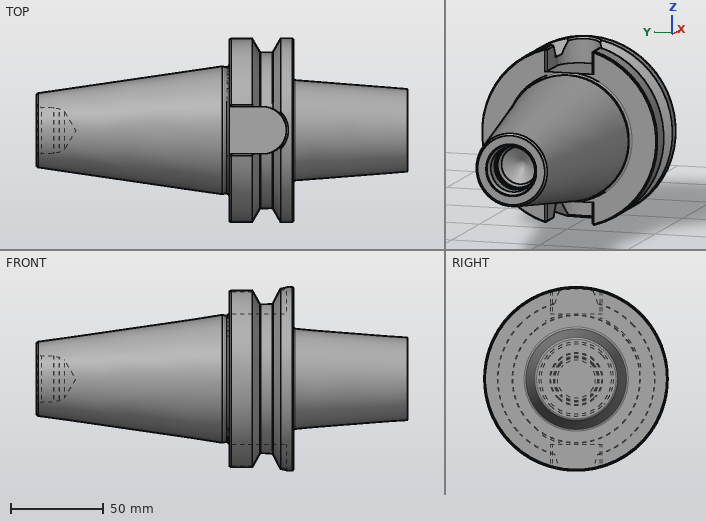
import cadquery as cq
import math


gauge_radius = 69.85 / 2
taper_slope = 7 / 24 / 2
taper_length = 101.8
taper_big_end = -0.7
small_end_chamfer = 1.0

relief_start = 0.5
relief_radius = 34.5
relief_fillet = 1.2

flange_start = 3.0
flange_end = 38.0
flange_radius = 50.0
front_chamfer_length = 1.1
front_chamfer_height = 0.6
rear_chamfer = 0.75
groove_center = 23.2
groove_floor_radius = 42.5
groove_floor_width = 6.9
groove_wall_angle = 30.0
groove_fillet = 0.5

slot_width = 25.7
slot_floor_height = 35.4
slot_round_center = 21.2
slot_edge_chamfer = 1.1

nose_end = 100.0
nose_end_radius = 22.5
nose_angle = 4.5
nose_end_fillet = 1.0
nose_root_fillet = 1.0

entry_radius = 14.4
entry_half_angle = 60.0
center_cone_radius = 13.9
center_cone_half_angle = 30.0
pilot_radius = 12.5
pilot_depth = 9.3
thread_radius = 12.0
thread_depth = 12.2
step_chamfer = 0.3
neck_radius = 11.6
drill_radius = 10.3
drill_depth = 15.2
drill_point_half_angle = 59.0

small_end = -taper_length
slot_radius = slot_width / 2
groove_front = groove_center - groove_floor_width / 2
groove_rear = groove_center + groove_floor_width / 2
groove_wall_run = (flange_radius - groove_floor_radius) * math.tan(math.radians(groove_wall_angle))
front_rim_end = groove_front - groove_wall_run
rear_rim_start = groove_rear + groove_wall_run
nose_root_radius = nose_end_radius + (nose_end - flange_end) * math.tan(math.radians(nose_angle))
tolerance = 1e-3


def cone_length(large_radius, small_radius, half_angle):
    """Axial length of a cone between two radii."""
    return (large_radius - small_radius) / math.tan(math.radians(half_angle))


def taper_radius(x):
    return gauge_radius + x * taper_slope


def revolve_about_axis(outline):
    """Turn a closed (x, radius) outline about the X axis."""
    return cq.Workplane("XY").polyline(outline).close().revolve(360, (0, 0, 0), (1, 0, 0))


def fillet_circle(body, x, radius, size):
    """Round the circular edge of the given radius at x."""
    def matches(edge):
        return (
            edge.geomType() == "CIRCLE"
            and abs(edge.Center().x - x) < tolerance
            and abs(edge.radius() - radius) < tolerance
        )

    return body.newObject([edge for edge in body.edges().vals() if matches(edge)]).fillet(size)


def make_body():
    chamfered_taper_x = small_end + small_end_chamfer
    body = revolve_about_axis([
        (small_end, 0),
        (small_end, taper_radius(small_end) - small_end_chamfer),
        (chamfered_taper_x, taper_radius(chamfered_taper_x)),
        (taper_big_end, taper_radius(taper_big_end)),
        (relief_start, relief_radius),
        (flange_start, relief_radius),
        (flange_start, flange_radius - front_chamfer_height),
        (flange_start + front_chamfer_length, flange_radius),
        (front_rim_end, flange_radius),
        (groove_front, groove_floor_radius),
        (groove_rear, groove_floor_radius),
        (rear_rim_start, flange_radius),
        (flange_end - rear_chamfer, flange_radius),
        (flange_end, flange_radius - rear_chamfer),
        (flange_end, nose_root_radius),
        (nose_end, nose_end_radius),
        (nose_end, 0),
    ])
    body = fillet_circle(body, flange_start, relief_radius, relief_fillet)
    body = fillet_circle(body, groove_front, groove_floor_radius, groove_fillet)
    body = fillet_circle(body, groove_rear, groove_floor_radius, groove_fillet)
    body = fillet_circle(body, flange_end, nose_root_radius, nose_root_fillet)
    return fillet_circle(body, nose_end, nose_end_radius, nose_end_fillet)


def cut_bore(body):
    cone_start = cone_length(entry_radius, center_cone_radius, entry_half_angle)
    cone_end = cone_start + cone_length(center_cone_radius, pilot_radius, center_cone_half_angle)
    drill_tip = drill_depth + cone_length(drill_radius, 0, drill_point_half_angle)
    bore = revolve_about_axis([
        (0, 0),
        (0, entry_radius),
        (cone_start, center_cone_radius),
        (cone_end, pilot_radius),
        (pilot_depth, pilot_radius),
        (pilot_depth + step_chamfer, thread_radius),
        (thread_depth, thread_radius),
        (thread_depth + step_chamfer, neck_radius),
        (drill_depth, drill_radius),
        (drill_tip, 0),
    ])
    return body.cut(bore.translate((small_end, 0, 0)))


def cut_drive_slots(body):
    """Cut flat-floored slots, open at the flange front and round at the rear."""
    slot_front = taper_big_end
    slot = (
        cq.Workplane("XY", origin=(0, 0, slot_floor_height))
        .moveTo(slot_front, -slot_radius)
        .lineTo(slot_round_center, -slot_radius)
        .threePointArc((slot_round_center + slot_radius, 0), (slot_round_center, slot_radius))
        .lineTo(slot_front, slot_radius)
        .close()
        .extrude(flange_radius - slot_floor_height)
    )
    return body.cut(slot).cut(slot.mirror("XY"))


def chamfer_slot_edges(body):
    """Break the slot edges on the flange front face and on both rims."""
    def on_front_wall(edge):
        center = edge.Center()
        box = edge.BoundingBox()
        is_on_wall = abs(abs(center.y) - slot_radius) < tolerance and box.ylen < tolerance
        is_above_floor = abs(center.z) > slot_floor_height + tolerance
        return is_on_wall and is_above_floor and box.xmax < front_rim_end + tolerance

    def on_rear_rim(edge):
        box = edge.BoundingBox()
        is_round_end = box.ylen < slot_width and abs(edge.Center().z) > groove_floor_radius
        return is_round_end and box.xmin > rear_rim_start - tolerance and box.xmax < flange_end - rear_chamfer

    edges = [edge for edge in body.edges().vals() if on_front_wall(edge) or on_rear_rim(edge)]
    return body.newObject(edges).chamfer(slot_edge_chamfer)


result = chamfer_slot_edges(cut_drive_slots(cut_bore(make_body())))